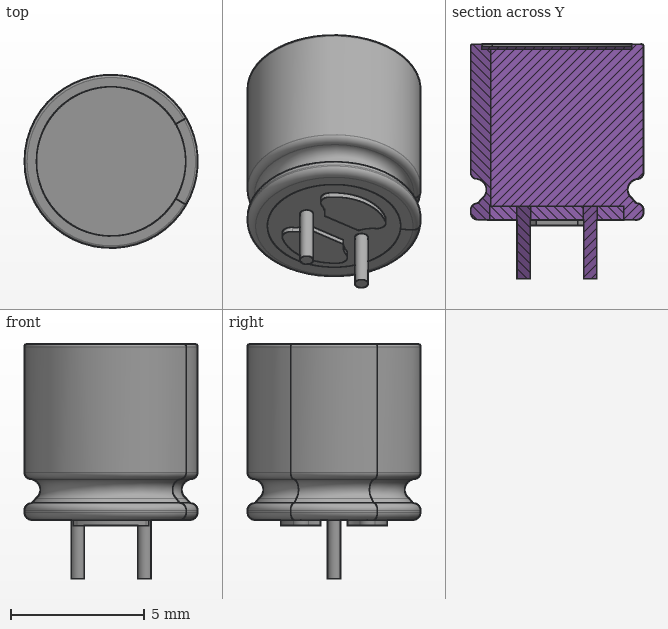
import cadquery as cq
import math

total_height = 8.8
can_bottom = 2.2
foot_height = 0.2

can_diameter = 6.5
can_radius = can_diameter / 2
top_round = 0.1
bead_round = 0.3
bead_top_round = 0.28
bead_land = 0.06
shoulder_round = 0.26
shoulder_height = 3.995
groove_floor_radius = 2.66
groove_round = 0.41
groove_centre_height = 3.34
groove_exit_angle = math.radians(52)

stripe_angle = 60.0
stripe_inner_radius = 2.5

cap_diameter = 5.6
cap_depth = 0.1
cap_thickness = 0.1

plug_diameter = 5.0
plug_thickness = 0.5
foot_outer_radius = 2.0
foot_gap = 1.0
foot_scallop_radius = 1.1
foot_scallop_offset = 1.75
foot_corner_round = 0.33

lead_diameter = 0.5
lead_pitch = 2.5
lead_places = [(-lead_pitch / 2, 0), (lead_pitch / 2, 0)]
lead_length = can_bottom + plug_thickness


def cylinder(diameter, bottom, height):
    return cq.Workplane("XY").workplane(offset=bottom).circle(diameter / 2).extrude(height)


def arc_point(centre, radius, angle):
    return (centre[0] + radius * math.cos(angle), centre[1] + radius * math.sin(angle))


def make_can_blank():
    """Full solid of revolution with the crimp groove above the bottom bead."""
    middle = math.pi / 4
    bead_low = (can_radius - bead_round, can_bottom + bead_round)
    bead_high = (can_radius - bead_top_round, bead_low[1] + bead_land)
    shoulder = (can_radius - shoulder_round, shoulder_height)
    top = (can_radius - top_round, total_height - top_round)
    groove = (groove_floor_radius + groove_round, groove_centre_height)
    groove_start = arc_point(groove, groove_round, math.pi + groove_exit_angle)
    profile = (
        cq.Workplane("XZ")
        .moveTo(0, can_bottom)
        .lineTo(bead_low[0], can_bottom)
        .threePointArc(arc_point(bead_low, bead_round, -middle), (can_radius, bead_low[1]))
        .lineTo(can_radius, bead_high[1])
        .threePointArc(
            arc_point(bead_high, bead_top_round, middle),
            arc_point(bead_high, bead_top_round, math.pi / 2),
        )
        .lineTo(*groove_start)
        .threePointArc(
            (groove_floor_radius, groove_centre_height),
            (shoulder[0], shoulder_height - shoulder_round),
        )
        .threePointArc(arc_point(shoulder, shoulder_round, -middle), (can_radius, shoulder_height))
        .lineTo(can_radius, top[1])
        .threePointArc(arc_point(top, top_round, middle), (top[0], total_height))
        .lineTo(0, total_height)
        .close()
    )
    return profile.revolve(360, (0, 0, 0), (0, 1, 0))


def make_stripe_sector():
    """Ring sector centred on +X, as tall as the can."""
    height = total_height - can_bottom
    reach = 2 * can_radius
    half_width = reach * math.tan(math.radians(stripe_angle / 2))
    wedge = (
        cq.Workplane("XY")
        .workplane(offset=can_bottom)
        .polyline([(0, 0), (reach, -half_width), (reach, half_width)])
        .close()
        .extrude(height)
    )
    return wedge.cut(cylinder(2 * stripe_inner_radius, can_bottom, height))


def make_feet():
    """Two opposed pads, scalloped beside the leads, with rounded outer corners."""
    bottom = can_bottom - foot_height
    slot = cq.Workplane("XY").workplane(offset=bottom).rect(2 * foot_outer_radius, foot_gap).extrude(foot_height)
    scallops = (
        cq.Workplane("XY")
        .workplane(offset=bottom)
        .pushPoints([(-foot_scallop_offset, 0), (foot_scallop_offset, 0)])
        .circle(foot_scallop_radius)
        .extrude(foot_height)
    )
    feet = cylinder(2 * foot_outer_radius, bottom, foot_height).cut(slot).cut(scallops)
    corner_height = foot_gap / 2 + foot_corner_round
    corners = cq.selectors.BoxSelector(
        (-can_radius, corner_height, 0), (can_radius, can_radius, can_bottom)
    ) + cq.selectors.BoxSelector(
        (-can_radius, -can_radius, 0), (can_radius, -corner_height, can_bottom)
    )
    return feet.edges("|Z").edges(corners).fillet(foot_corner_round)


def make_lead(place):
    return cylinder(lead_diameter, 0, lead_length).translate((*place, 0))


cap_seat_depth = cap_depth + cap_thickness
can_blank = (
    make_can_blank()
    .cut(cylinder(cap_diameter, total_height - cap_seat_depth, cap_seat_depth))
    .cut(cylinder(plug_diameter, can_bottom, plug_thickness))
)

stripe_sector = make_stripe_sector()
stripe = can_blank.intersect(stripe_sector)
can = can_blank.cut(stripe_sector)

cap = cylinder(cap_diameter, total_height - cap_seat_depth, cap_thickness)

leads = [make_lead(place) for place in lead_places]

plug = cylinder(plug_diameter, can_bottom, plug_thickness).union(make_feet())
for lead in leads:
    plug = plug.cut(lead)

result = cq.Compound.makeCompound(
    [body.solids().val() for body in (can, stripe, cap, plug, *leads)]
)